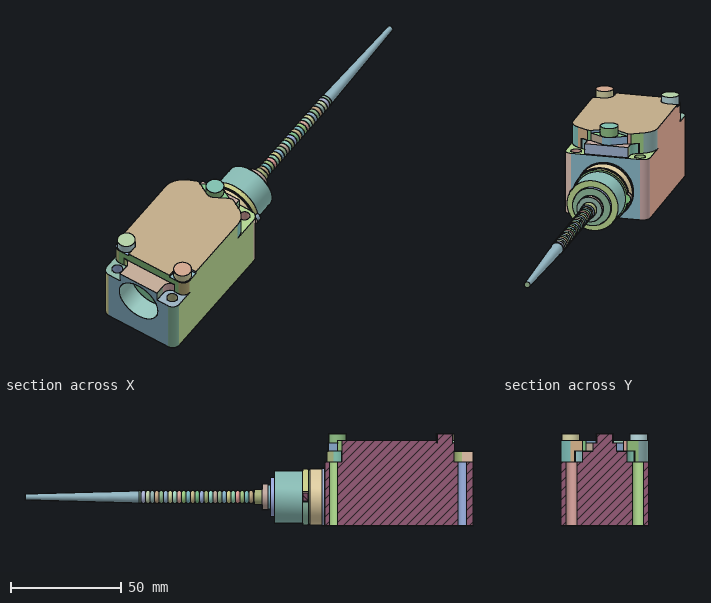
import cadquery as cq
import math


total_length = 203.7
width = 40.0
total_height = 42.0
housing_length = 67.6
ledge_z = 29.1
bump_z = 34.0
cover_z = 39.0
corner_radius = 3.7
half_width = width / 2

cover_front_y = 8.5
shoulder_y = 61.7
shoulder_half_width = 10.2
slant_angle = 30
slant_fillet = 9.0
rear_bump_inset = 1.0

hole_diameter = 4.9
hole_x = 15.0
hole_front_y = 5.0
hole_rear_y = 63.5
clearance_x = 13.9
clearance_radius = clearance_x - shoulder_half_width

screw_radius = 4.0
screw_x = 15.5
front_screw_y = 12.8
rear_screw_y = shoulder_y
seat_z = 37.7
seat_radius = 4.3
rear_seat_radius = 4.3

conduit_radius = 10.5
conduit_z = 21.5
conduit_depth = 10.2

flange_radius = 26.3 / 2
flange_end = 68.9
collar_radius = 12.8
collar_end = 77.6
groove_start = 74.4
groove_end = 75.0
groove_radius = 12.5
barrel_radius = 12.0
barrel_end = 90.5
boss_radius = 9.0
boss_end = 92.3

axis_z = flange_radius

lug_radius = 2.5
lug_length = collar_end - groove_end

neck_radius = 5.5
neck_end = 93.3
nut_radius = 6.0
nut_end = 96.0
ferrule_radius = 3.5
ferrule_end = 99.6
coil_radius = 3.0
coil_root_radius = 2.2
coil_end = 152.0
coil_pitch = 2.0
coil_full_turns = 25
rod_radius = 2.9
tip_radius = 1.5


def plan_at(z):
    """Work plane parallel to XY at height z."""
    return cq.Workplane("XY").workplane(offset=z)


def disc(x, y, radius, bottom, top):
    """Upright cylinder between two heights."""
    return plan_at(bottom).center(x, y).circle(radius).extrude(top - bottom)


def block(x0, x1, y0, y1, bottom, top):
    """Box between two corners; the X limits may come in either order."""
    x0, x1 = sorted((x0, x1))
    return cq.Workplane("XY").box(x1 - x0, y1 - y0, top - bottom, centered=False).translate((x0, y0, bottom))


def cover():
    """Cover with rounded slanted rear corners, reaching down to the ledges."""
    side_y = shoulder_y - (half_width - shoulder_half_width) * math.tan(math.radians(slant_angle))
    outline = [
        (-half_width, cover_front_y),
        (half_width, cover_front_y),
        (half_width, side_y),
        (shoulder_half_width, shoulder_y),
        (-shoulder_half_width, shoulder_y),
        (-half_width, side_y),
    ]
    body = plan_at(ledge_z).polyline(outline).close().extrude(cover_z - ledge_z)
    body = body.edges("|Z").edges("<Y").fillet(corner_radius)
    slant_corners = cq.selectors.BoxSelector(
        (-width, side_y / 2, 0), (width, (side_y + shoulder_y) / 2, total_height)
    )
    return body.edges("|Z").edges(slant_corners).fillet(slant_fillet)


def rear_seat(bottom, top):
    """Diamond pad around the rear screw, its front and rear points rounded."""
    tip = rear_seat_radius / math.sin(math.radians(slant_angle))
    rise = rear_seat_radius / math.cos(math.radians(slant_angle))
    diamond = [(tip, 0), (0, rise), (-tip, 0), (0, -rise)]
    pad = plan_at(bottom).center(0, rear_screw_y).polyline(diamond).close().extrude(top - bottom)
    return pad.edges("|Z and (<Y or >Y)").fillet(rear_seat_radius)


def front_seat(side):
    """Round-backed step for a front screw, open to the front and to the side."""
    x = side * screw_x
    step = disc(x, front_screw_y, seat_radius, seat_z, cover_z)
    to_front = block(x - seat_radius, x + seat_radius, 0, front_screw_y, seat_z, cover_z)
    outer = side * width
    to_side = block(x, outer, 0, front_screw_y + seat_radius, seat_z, cover_z)
    return step.union(to_front).union(to_side)


def hole_clearance(side, hole_y):
    """Quarter-round pocket beside a mounting hole, cut below the cover overhang."""
    x = side * clearance_x
    pocket = disc(x, hole_y, clearance_radius, ledge_z, bump_z)
    inner = side * (clearance_x - clearance_radius)
    return pocket.intersect(block(inner, x, 0, housing_length, ledge_z, bump_z))


def end_blocks():
    """Blocks between the mounting holes at both ends, rising above the ledges."""
    front = block(-clearance_x, clearance_x, 0, cover_front_y, ledge_z, bump_z)
    rear_start = hole_rear_y - clearance_radius
    rear_end = housing_length - rear_bump_inset
    rear = block(-clearance_x, clearance_x, rear_start, rear_end, ledge_z, bump_z)
    blocks = front.union(rear)
    for side in (-1, 1):
        x0 = side * shoulder_half_width
        x1 = side * half_width
        blocks = blocks.cut(block(x0, x1, 0, hole_front_y, ledge_z, bump_z))
        blocks = blocks.cut(block(x0, x1, hole_rear_y, housing_length, ledge_z, bump_z))
    return blocks


def make_housing():
    body = block(-half_width, half_width, 0, housing_length, 0, ledge_z)
    body = body.edges("|Z").fillet(corner_radius)
    body = body.union(cover()).union(end_blocks())
    body = body.union(rear_seat(ledge_z, seat_z)).cut(rear_seat(seat_z, cover_z))

    for side in (-1, 1):
        body = body.cut(front_seat(side))
        for hole_y in (hole_front_y, hole_rear_y):
            body = body.cut(hole_clearance(side, hole_y))
            body = body.cut(disc(side * hole_x, hole_y, hole_diameter / 2, 0, ledge_z))

    screws = [(-screw_x, front_screw_y), (screw_x, front_screw_y), (0, rear_screw_y)]
    for x, y in screws:
        body = body.union(disc(x, y, screw_radius, seat_z, total_height))

    conduit = cq.Workplane("XZ").center(0, conduit_z).circle(conduit_radius).extrude(-conduit_depth)
    return body.cut(conduit)


def revolve_on_axis(profile):
    """Revolve (radius, y) points about the head axis."""
    turned = cq.Workplane("XY").polyline(profile).close().revolve(360, (0, 0, 0), (0, 1, 0))
    return turned.translate((0, 0, axis_z))


def stepped_profile(start, steps):
    """Outline of stacked cylinders given as (radius, end y) pairs."""
    points = [(0, start)]
    y = start
    for radius, end in steps:
        points += [(radius, y), (radius, end)]
        y = end
    return points + [(0, y)]


def make_head():
    steps = [
        (flange_radius, flange_end),
        (collar_radius, groove_start),
        (groove_radius, groove_end),
        (collar_radius, collar_end),
        (barrel_radius, barrel_end),
        (boss_radius, boss_end),
    ]
    body = revolve_on_axis(stepped_profile(housing_length, steps))
    lug_plane = cq.Workplane("XZ", origin=(0, groove_end, axis_z))
    lugs = lug_plane.pushPoints([(-barrel_radius, 0), (barrel_radius, 0)]).circle(lug_radius)
    return body.union(lugs.extrude(-lug_length))


def make_wand():
    """Nut, ferrule, coil with rounded turns and tapered rod."""
    steps = [
        (neck_radius, neck_end),
        (nut_radius, nut_end),
        (ferrule_radius, ferrule_end),
    ]
    outline = cq.Workplane("XY").polyline(stepped_profile(boss_end, steps)[:-1])
    coil_start = coil_end - (coil_full_turns + 0.5) * coil_pitch
    outline = outline.lineTo(coil_root_radius, ferrule_end).lineTo(coil_root_radius, coil_start)
    for turn in range(coil_full_turns):
        start = coil_start + turn * coil_pitch
        outline = outline.threePointArc(
            (coil_radius, start + coil_pitch / 2), (coil_root_radius, start + coil_pitch)
        )

    crest_height = coil_radius - coil_root_radius
    crest_radius = (crest_height**2 + (coil_pitch / 2) ** 2) / (2 * crest_height)
    shoulder_drop = crest_radius - math.sqrt(crest_radius**2 - (coil_pitch / 4) ** 2)
    outline = outline.threePointArc(
        (coil_radius - shoulder_drop, coil_end - coil_pitch / 4), (coil_radius, coil_end)
    )

    outline = outline.lineTo(rod_radius, coil_end).lineTo(tip_radius, total_length).lineTo(0, total_length)
    body = outline.close().revolve(360, (0, 0, 0), (0, 1, 0))
    return body.translate((0, 0, axis_z))


housing = make_housing()
head = make_head()
wand = make_wand()

result = cq.Compound.makeCompound([housing.val(), head.val(), wand.val()])